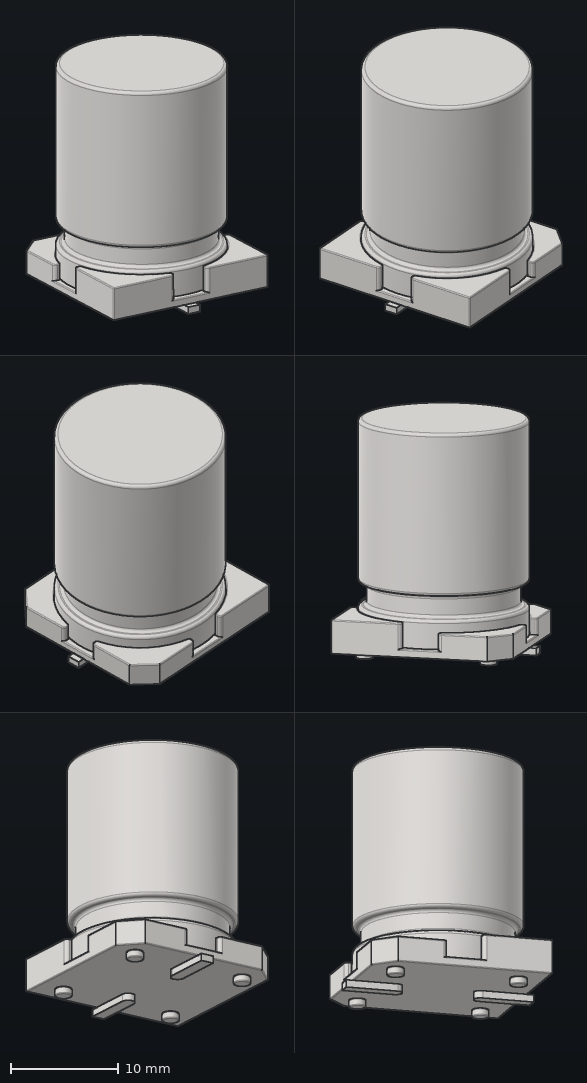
import cadquery as cq
import math

base_width = 17.1
terminal_span = 18.3
total_height = 22.0

standoff = 0.7
floor_z = 1.5
low_pad_z = 3.1
high_pad_z = 3.95
corner_chamfer = 2.0
notch_width = 3.5
pad_bore_radius = 8.05
notch_mouth_radius = 0.35
pad_inner_corner_radius = 0.2
edge_radius = 0.1

can_radius = 16.0 / 2
neck_radius = 14.4 / 2
can_edge_radius = 0.33
groove_bottom_z = 4.32
groove_top_z = 6.5

terminal_width = 1.3
terminal_inner_x = 3.5
pin_diameter = 1.6
pin_offset = 6.0
pin_edge_radius = 0.1

half_base = base_width / 2
half_notch = notch_width / 2


def base_block(bottom_z, top_z):
    """Square block with both -X corners chamfered and both +X corners rounded."""
    height = top_z - bottom_z
    block = cq.Workplane("XY").workplane(offset=bottom_z).rect(base_width, base_width).extrude(height)
    block = block.edges("|Z and <X").chamfer(corner_chamfer)
    return block.edges("|Z and >X").fillet(edge_radius)


def corner_pad(side_x, side_y, top_z):
    """One raised corner of the base, bounded by two notches and the bore around the can."""
    bottom_z = floor_z - edge_radius
    height = top_z - bottom_z
    pad_width = half_base - half_notch
    pad_centre = (half_base + half_notch) / 2
    quadrant = (
        cq.Workplane("XY")
        .workplane(offset=bottom_z)
        .center(side_x * pad_centre, side_y * pad_centre)
        .rect(pad_width, pad_width)
        .extrude(height)
    )
    bore = cq.Workplane("XY").workplane(offset=bottom_z).circle(pad_bore_radius).extrude(height)
    pad = base_block(bottom_z, top_z).intersect(quadrant).cut(bore)

    bore_corner = math.sqrt(pad_bore_radius**2 - half_notch**2)
    for reach, radius in ((half_base, notch_mouth_radius), (bore_corner, pad_inner_corner_radius)):
        for x, y in ((half_notch, reach), (reach, half_notch)):
            corner = (side_x * x, side_y * y, bottom_z + height / 2)
            pad = pad.edges(cq.selectors.NearestToPointSelector(corner)).fillet(radius)
    return pad.faces(">Z").edges().fillet(edge_radius)


def plastic_base():
    """Slab with four corner pads; the +X pads are taller than the -X pads."""
    base = base_block(standoff, floor_z).faces("<Z or >Z").edges().fillet(edge_radius)
    for side_x, top_z in ((-1, low_pad_z), (1, high_pad_z)):
        for side_y in (-1, 1):
            base = base.union(corner_pad(side_x, side_y, top_z))
    return base


def can():
    """Turned can: a foot ring, a necked groove and the main barrel, all with rounded edges."""
    foot_height = groove_bottom_z - floor_z
    neck_height = groove_top_z - groove_bottom_z
    barrel_height = total_height - groove_top_z
    foot = cq.Workplane("XY").workplane(offset=floor_z).circle(can_radius).extrude(foot_height)
    neck = cq.Workplane("XY").workplane(offset=groove_bottom_z).circle(neck_radius).extrude(neck_height)
    barrel = cq.Workplane("XY").workplane(offset=groove_top_z).circle(can_radius).extrude(barrel_height)
    foot = foot.faces(">Z").edges().fillet(can_edge_radius)
    barrel = barrel.edges().fillet(can_edge_radius)
    body = foot.union(neck).union(barrel)

    for z in (groove_bottom_z, groove_top_z):
        neck_edge = cq.selectors.BoxSelector(
            (-edge_radius, -edge_radius, z - edge_radius),
            (edge_radius, edge_radius, z + edge_radius),
        )
        body = body.edges(neck_edge).edges(cq.selectors.RadiusNthSelector(0)).fillet(can_edge_radius)
    return body


def terminal(side_x):
    """Flat lead reaching past the base edge, with a round inner end."""
    end_radius = terminal_width / 2
    outer_x = terminal_span / 2
    end_centre_x = terminal_inner_x + end_radius
    length = outer_x - end_centre_x
    strip = cq.Workplane("XY").center(side_x * (outer_x - length / 2), 0).rect(length, terminal_width)
    round_end = cq.Workplane("XY").center(side_x * end_centre_x, 0).circle(end_radius)
    return strip.extrude(standoff).union(round_end.extrude(standoff))


def locating_pins():
    """Four short round pins that stand the base off the board."""
    pins = (
        cq.Workplane("XY")
        .rect(2 * pin_offset, 2 * pin_offset, forConstruction=True)
        .vertices()
        .circle(pin_diameter / 2)
        .extrude(standoff)
    )
    return pins.faces("<Z or >Z").edges().fillet(pin_edge_radius)


result = plastic_base().union(can()).union(locating_pins())
for side in (-1, 1):
    result = result.union(terminal(side))